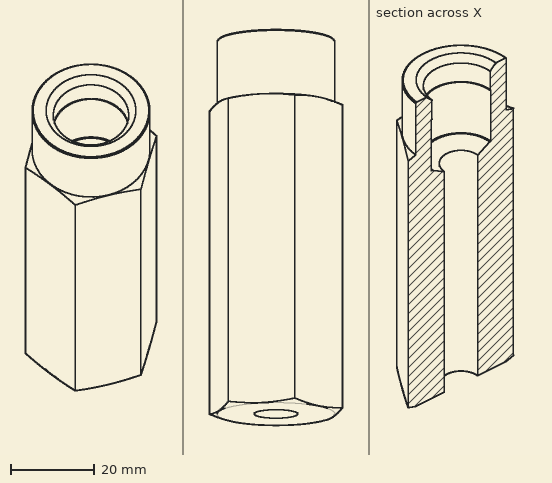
import cadquery as cq
import math

total_length = 91.4
across_flats = 28.5
across_corners = across_flats / math.cos(math.pi / 6)

hex_length = 75.7
corner_cone_drop = 0.7
end_face_diameter = 28.35

collar_diameter = end_face_diameter
collar_edge_chamfer = 0.3

mouth_diameter = 21.6
mouth_depth = 1.7
entry_diameter = 18.1
entry_depth = 7.5
chamber_diameter = 18.6
chamber_depth = 22.9
cone_diameter = 17.8
through_diameter = 10.4
cone_half_angle = math.radians(59)


def revolve_profile(points):
    """Turn a closed (radius, height) outline about the Z axis."""
    return cq.Workplane("XZ").polyline(points).close().revolve(360, (0, 0), (0, 1))


def make_hex_body():
    corner_radius = across_corners / 2
    end_radius = end_face_diameter / 2
    prism = cq.Workplane("XY").polygon(6, across_corners).extrude(hex_length)
    prism = prism.rotate((0, 0, 0), (0, 0, 1), 30)
    turned_envelope = revolve_profile([
        (0, 0),
        (end_radius, 0),
        (corner_radius, corner_cone_drop),
        (corner_radius, hex_length - corner_cone_drop),
        (end_radius, hex_length),
        (0, hex_length),
    ])
    return prism.intersect(turned_envelope)


def make_collar():
    overlap = hex_length / 2
    collar = cq.Workplane("XY").workplane(offset=hex_length - overlap)
    collar = collar.circle(collar_diameter / 2).extrude(total_length - hex_length + overlap)
    return collar.faces(">Z").chamfer(collar_edge_chamfer)


def make_bore():
    mouth_radius = mouth_diameter / 2
    entry_radius = entry_diameter / 2
    chamber_radius = chamber_diameter / 2
    through_radius = through_diameter / 2
    cone_radius = cone_diameter / 2
    cone_depth = (cone_radius - through_radius) / math.tan(cone_half_angle)
    return revolve_profile([
        (0, total_length),
        (mouth_radius, total_length),
        (entry_radius, total_length - mouth_depth),
        (entry_radius, total_length - entry_depth),
        (chamber_radius, total_length - entry_depth),
        (chamber_radius, total_length - chamber_depth),
        (cone_radius, total_length - chamber_depth),
        (through_radius, total_length - chamber_depth - cone_depth),
        (through_radius, 0),
        (0, 0),
    ])


result = make_hex_body().union(make_collar()).cut(make_bore())